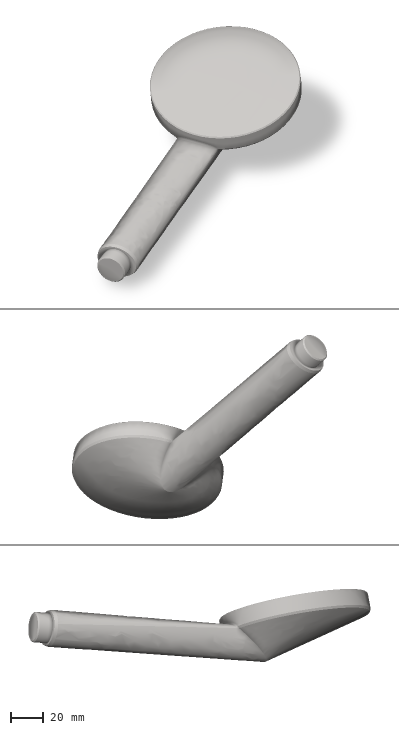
import cadquery as cq
import math

TOTAL_LENGTH = 221.22

HEAD_DIAMETER = 94.27
HEAD_RADIUS = HEAD_DIAMETER / 2
HEAD_TILT = 11.0
HEAD_THICKNESS = 11.9
HEAD_CENTRE_Z = 14.75
DOME_HEIGHT = 0.7
FACE_EDGE_BREAK = 0.7
BACK_BEVEL_WIDTH = 0.8
BACK_BEVEL_HEIGHT = 1.5

HANDLE_WIDTH = 27.6
HANDLE_END_HEIGHT = 23.0
HANDLE_END_Y = 11.5
HANDLE_TOP_AT_HEAD_Z = 10.6
ELBOW_Y = 154.5
ELBOW_Z = -10.5
JOINT_FILLET = 1.0

CONE_TIP_RATIO = 0.02

NECK_DIAMETER = 19.0
NECK_LENGTH = 9.3
NECK_CHAMFER = 0.8
END_BEVEL = 0.6

tilt = math.radians(HEAD_TILT)
half_width = HANDLE_WIDTH / 2
back_radius = HEAD_RADIUS - BACK_BEVEL_WIDTH
far_reach = HEAD_RADIUS * math.cos(tilt) - BACK_BEVEL_HEIGHT * math.sin(tilt)
head_centre_y = TOTAL_LENGTH - far_reach
chord_offset = math.sqrt(back_radius**2 - half_width**2)

head_plane = cq.Plane(
    origin=(0, head_centre_y, HEAD_CENTRE_Z),
    xDir=(1, 0, 0),
    normal=(0, -math.sin(tilt), math.cos(tilt)),
)
chord_middle = head_plane.toWorldCoords((0, -chord_offset, 0))
elbow_tip = cq.Vector(0, ELBOW_Y, ELBOW_Z)


def half_ellipse(centre, tip):
    """Half ellipse of the handle's width, from its right end through the tip to its left end."""
    tip_axis = tip - centre
    reach = tip_axis.Length
    across = cq.Vector(1, 0, 0)
    normal = across.cross(tip_axis)
    if reach >= half_width:
        return cq.Edge.makeEllipse(reach, half_width, centre, normal, tip_axis, -90.0, 90.0)
    return cq.Edge.makeEllipse(half_width, reach, centre, normal, across, 0.0, 180.0)


def closed_wire(edge):
    """Close an open edge with a straight chord."""
    chord = cq.Edge.makeLine(edge.endPoint(), edge.startPoint())
    return cq.Wire.assembleEdges([edge, chord])


def make_head_disc():
    """Disc turned about the head axis, with a domed face and a bevelled back edge."""
    wall_top = HEAD_THICKNESS - FACE_EDGE_BREAK
    face_radius = HEAD_RADIUS - FACE_EDGE_BREAK
    dome_top = HEAD_THICKNESS + DOME_HEIGHT
    dome_radius = (face_radius**2 + DOME_HEIGHT**2) / (2 * DOME_HEIGHT)
    middle_drop = dome_radius - math.sqrt(dome_radius**2 - (face_radius / 2) ** 2)
    dome_middle = (face_radius / 2, dome_top - middle_drop)
    profile_plane = cq.Plane(
        origin=head_plane.origin, xDir=head_plane.xDir, normal=-head_plane.yDir
    )
    return (
        cq.Workplane(profile_plane)
        .lineTo(back_radius, 0)
        .lineTo(HEAD_RADIUS, BACK_BEVEL_HEIGHT)
        .lineTo(HEAD_RADIUS, wall_top)
        .lineTo(face_radius, HEAD_THICKNESS)
        .threePointArc(dome_middle, (0, dome_top))
        .close()
        .revolve(360, (0, 0, 0), (0, 1, 0))
    )


def make_head_back():
    """Oblique cone on the head's back rim, cut off square to the sides at the elbow plane."""
    far_rim = head_plane.toWorldCoords((0, back_radius, 0))
    near_rim = head_plane.toWorldCoords((0, -back_radius, 0))
    ellipse_top = chord_middle * 2 - elbow_tip
    lower_ruling = elbow_tip - far_rim
    upper_ruling = ellipse_top - near_rim
    gap = near_rim - far_rim
    turn = lower_ruling.cross(upper_ruling).x
    vertex = far_rim + lower_ruling * (gap.cross(upper_ruling).x / turn)

    small_radius = back_radius * CONE_TIP_RATIO
    small_centre = vertex + (head_plane.origin - vertex) * CONE_TIP_RATIO
    rims = [
        cq.Wire.makeCircle(back_radius, head_plane.origin, head_plane.zDir),
        cq.Wire.makeCircle(small_radius, small_centre, head_plane.zDir),
    ]
    cone = cq.Workplane(cq.Solid.makeLoft(rims, True))

    below_tip = elbow_tip + (elbow_tip - chord_middle)
    keep_points = [
        (chord_middle.y, chord_middle.z),
        (below_tip.y, below_tip.z),
        (TOTAL_LENGTH, below_tip.z),
        (TOTAL_LENGTH, far_rim.z + HEAD_THICKNESS),
    ]
    keep = cq.Workplane("YZ").polyline(keep_points).close().extrude(HEAD_RADIUS, both=True)
    return cone.intersect(keep)


def make_handle_half(end_curve, head_curve):
    """Half of the handle, straight from its end curve to the curve at the head."""
    wires = [closed_wire(end_curve), closed_wire(head_curve)]
    return cq.Workplane(cq.Solid.makeLoft(wires, True))


def make_end_collar():
    """Bevelled end of the handle."""
    depth = HANDLE_END_Y - NECK_LENGTH
    half_height = HANDLE_END_HEIGHT / 2
    return (
        cq.Workplane("XZ", origin=(0, HANDLE_END_Y, 0))
        .ellipse(half_width, half_height)
        .workplane(offset=depth)
        .ellipse(half_width - END_BEVEL, half_height - END_BEVEL)
        .loft(ruled=True)
    )


def make_neck():
    """Round neck for the hose with a chamfered tip."""
    return (
        cq.Workplane("XZ", origin=(0, HANDLE_END_Y, 0))
        .circle(NECK_DIAMETER / 2)
        .extrude(HANDLE_END_Y)
        .faces("<Y")
        .chamfer(NECK_CHAMFER)
    )


def round_handle_joint(body):
    """Fillet the edges where the upper half of the handle meets the side of the head."""
    joint_zone = cq.selectors.BoxSelector(
        (-half_width, chord_middle.y - half_width / 2, chord_middle.z),
        (half_width, chord_middle.y + half_width / 2, HANDLE_TOP_AT_HEAD_Z),
    )
    return body.edges(joint_zone).fillet(JOINT_FILLET)


end_centre = cq.Vector(0, HANDLE_END_Y, 0)
end_rise = cq.Vector(0, 0, HANDLE_END_HEIGHT / 2)
elbow_curve = half_ellipse(chord_middle, elbow_tip)
head_top = cq.Vector(0, chord_middle.y, HANDLE_TOP_AT_HEAD_Z)

lower_half = make_handle_half(half_ellipse(end_centre, end_centre - end_rise), elbow_curve)
upper_half = make_handle_half(
    half_ellipse(end_centre, end_centre + end_rise), half_ellipse(chord_middle, head_top)
)

body = (
    make_head_disc()
    .union(make_head_back())
    .union(lower_half)
    .union(upper_half)
    .union(make_end_collar())
    .union(make_neck())
)

result = round_handle_joint(body)